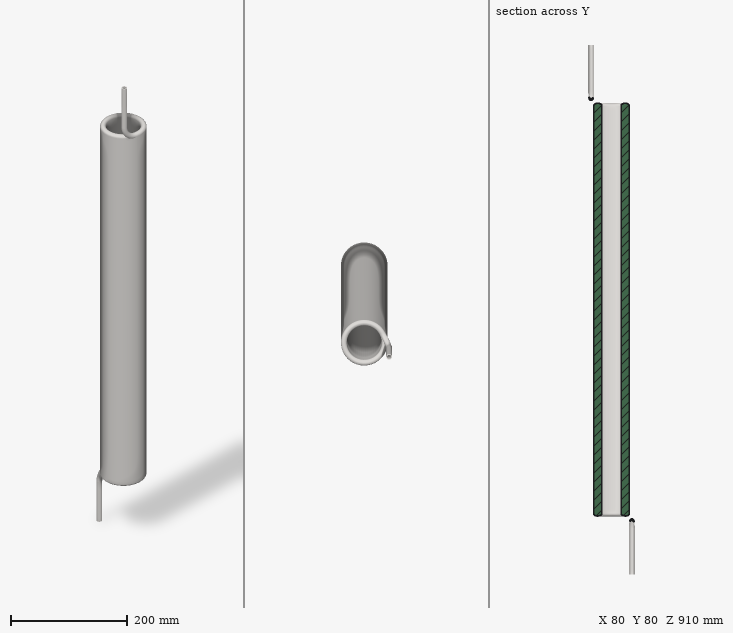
import cadquery as cq

sleeve_outer_diameter = 80
sleeve_inner_diameter = 60
sleeve_length = 710

tube_outer_diameter = 10
tube_inner_diameter = 7
tube_bend_radius = 25
tube_bend_angle = 90
tube_reach = 100

outer_radius = sleeve_outer_diameter / 2
inner_radius = sleeve_inner_diameter / 2
wall_mid_radius = (outer_radius + inner_radius) / 2
rim_radius = (outer_radius - inner_radius) / 2
rim_center_z = sleeve_length / 2 - rim_radius
tube_end_z = sleeve_length / 2 + tube_reach


def make_sleeve():
    """Sleeve wall with a half-round rim at both ends, revolved about Z.

    The profile lies in the YZ plane, so the seam is clear of the tubes at +X and -X.
    """
    profile = (
        cq.Workplane("YZ")
        .moveTo(inner_radius, -rim_center_z)
        .lineTo(inner_radius, rim_center_z)
        .threePointArc((wall_mid_radius, sleeve_length / 2), (outer_radius, rim_center_z))
        .lineTo(outer_radius, -rim_center_z)
        .threePointArc((wall_mid_radius, -sleeve_length / 2), (inner_radius, -rim_center_z))
        .close()
    )
    return profile.revolve(360, (0, 0, 0), (0, 1, 0))


def make_tube_rod(diameter, side):
    """Bent rod: leaves the rim along -Y, then turns to run parallel to Z.

    side = +1 gives the upper rod at +X, side = -1 the lower rod at -X.
    """
    rim_point = (side * wall_mid_radius, 0, side * rim_center_z)
    bend_center = (0, side * tube_bend_radius, 0)
    bend_axis_end = (-side, side * tube_bend_radius, 0)
    bend_end_z = rim_center_z + tube_bend_radius
    bend = (
        cq.Workplane("XZ", origin=rim_point)
        .circle(diameter / 2)
        .revolve(tube_bend_angle, bend_center, bend_axis_end)
    )
    bend_end_point = (side * wall_mid_radius, -tube_bend_radius, side * bend_end_z)
    straight = (
        cq.Workplane("XY", origin=bend_end_point)
        .circle(diameter / 2)
        .extrude(side * (tube_end_z - bend_end_z))
    )
    return bend.union(straight)


sides = (1, -1)

result = make_sleeve()
for side in sides:
    result = result.union(make_tube_rod(tube_outer_diameter, side))
for side in sides:
    result = result.cut(make_tube_rod(tube_inner_diameter, side))